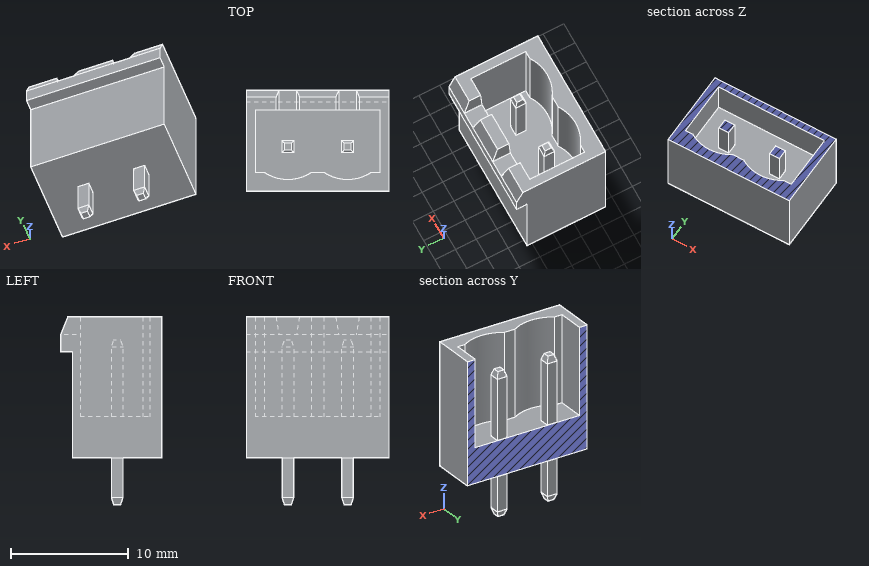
import cadquery as cq


pole_count = 2
pitch = 5.08
pin_width = 1.0
pin_tip_width = 0.6
pin_taper_length = 0.6
pin_below_housing = 4.0
pin_top_gap = 2.0

end_margin = 3.54
housing_length = (pole_count - 1) * pitch + 2 * end_margin
housing_depth = 7.6
housing_height = 12.0

lip_overhang = 1.0
lip_height = 3.0
lip_bevel_run = 0.6
lip_bevel_drop = 1.5

end_wall = 0.8
front_wall = 1.6
rear_wall = 1.7
floor_thickness = 3.5

scallop_chord = 4.0
scallop_rise = 0.6

notch_top_width = 2.0
notch_floor_width = 1.5
notch_depth = lip_bevel_drop

front_y = -housing_depth / 2
rear_y = housing_depth / 2
lip_y = rear_y + lip_overhang
cavity_front_y = front_y + front_wall
cavity_rear_y = lip_y - rear_wall
pole_positions = [(i - (pole_count - 1) / 2) * pitch for i in range(pole_count)]


def housing_block():
    """Side profile with the bevelled lip, extruded along X."""
    lip_bottom_z = housing_height - lip_height
    profile = [
        (front_y, 0),
        (rear_y, 0),
        (rear_y, lip_bottom_z),
        (lip_y, lip_bottom_z),
        (lip_y, housing_height - lip_bevel_drop),
        (lip_y - lip_bevel_run, housing_height),
        (front_y, housing_height),
    ]
    return cq.Workplane("YZ").polyline(profile).close().extrude(housing_length / 2, both=True)


def plug_cavity():
    """Rectangular pocket whose front side bulges outward at each pole."""
    half_length = housing_length / 2 - end_wall
    outline = cq.Workplane("XY").workplane(offset=floor_thickness).moveTo(-half_length, cavity_front_y)
    for x in pole_positions:
        outline = outline.lineTo(x - scallop_chord / 2, cavity_front_y)
        outline = outline.threePointArc(
            (x, cavity_front_y - scallop_rise),
            (x + scallop_chord / 2, cavity_front_y),
        )
    outline = outline.lineTo(half_length, cavity_front_y)
    outline = outline.lineTo(half_length, cavity_rear_y)
    outline = outline.lineTo(-half_length, cavity_rear_y).close()
    return outline.extrude(housing_height - floor_thickness)


def rim_notch(x):
    """Trapezoidal cutter crossing the rear wall and lip from the cavity outward."""
    notch_floor_z = housing_height - notch_depth
    profile = [
        (x - notch_floor_width / 2, notch_floor_z),
        (x + notch_floor_width / 2, notch_floor_z),
        (x + notch_top_width / 2, housing_height),
        (x - notch_top_width / 2, housing_height),
    ]
    plane = cq.Workplane("XZ", origin=(0, cavity_rear_y, 0))
    return plane.polyline(profile).close().extrude(-rear_wall)


def pin_tip(x, base_z, direction):
    """Square taper from base_z; direction is +1 for upward, -1 for downward."""
    base = cq.Workplane("XY", origin=(x, 0, base_z)).rect(pin_width, pin_width)
    end = base.workplane(offset=direction * pin_taper_length).rect(pin_tip_width, pin_tip_width)
    return end.loft(ruled=True)


def pin(x):
    """Square contact pin, tapered at both ends."""
    shank_bottom_z = -pin_below_housing + pin_taper_length
    shank_top_z = housing_height - pin_top_gap - pin_taper_length
    shank = (
        cq.Workplane("XY", origin=(x, 0, shank_bottom_z))
        .rect(pin_width, pin_width)
        .extrude(shank_top_z - shank_bottom_z)
    )
    return shank.union(pin_tip(x, shank_top_z, 1)).union(pin_tip(x, shank_bottom_z, -1))


result = housing_block().cut(plug_cavity())
for pole_x in pole_positions:
    result = result.cut(rim_notch(pole_x)).union(pin(pole_x))